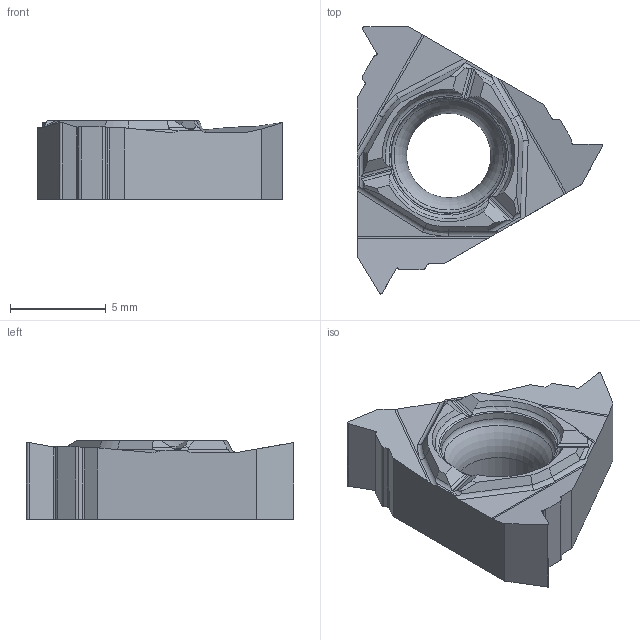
import math

import cadquery as cq

corner_turns = (0, 120, 240)
inscribed_radius = 9.525 / 2
overall_height = 4.1
floor_height = 3.487
reach = 12.0

profile_start = (-inscribed_radius, -5.24)
tooth_tip = (-3.53, -7.287)
tooth_root = (-2.69, -5.84)
crest_y = -5.959
crest_start_x = -2.54
crest_end_x = -1.276
shoulder_y = -5.625
shoulder_start_x = -1.07
tip_radius = 0.076
root_radius = 0.05
crest_radius = 0.2
shoulder_radius = 0.12

rake_angle = 10
fold_distance = 4.275
fold_radius = 0.63

seat_radius = 4.22
chord_distance = 4.108
chord_angle = 237.8
straight_angle = 270
wall_draft = 27
wall_fillet = 0.3
pick_tolerance = 0.01

ledge_height = 3.6
ledge_distance = 4.634
relief_fillet = 0.24
ramp_direction = 215
ramp_distance = 4.08
ramp_angle = 34
ramp_start = -1.35
ramp_end = 1.0

groove_angle = 75
groove_offset = 0.05
groove_half_width = 0.74
groove_wall_angle = 38
groove_floor_width = 0.08
groove_radius = 0.25
groove_inner_end = 2.5

rim_radius = 3.46
rim_step_top = (3.31, 3.82)
rim_step_end = (3.11, 3.64)
rim_edge = (3.02, 3.60)
bore_end = (3.0, 3.23)
bowl_start = (2.85, 2.92)
hole_radius = 4.4 / 2
bowl_end_height = 1.325


def tan(degrees):
    return math.tan(math.radians(degrees))


def sin(degrees):
    return math.sin(math.radians(degrees))


def cos(degrees):
    return math.cos(math.radians(degrees))


def polar(radius, degrees):
    return (radius * cos(degrees), radius * sin(degrees))


def turned(point, degrees):
    x, y = point
    return (x * cos(degrees) - y * sin(degrees), x * sin(degrees) + y * cos(degrees))


def rotated(solid, degrees):
    return solid.rotate((0, 0, 0), (0, 0, 1), degrees)


def line_crossing(distance_a, angle_a, distance_b, angle_b):
    """Crossing of two lines, each given by its distance from the axis and its normal angle."""
    scale = sin(angle_b - angle_a)
    x = (distance_a * sin(angle_b) - distance_b * sin(angle_a)) / scale
    y = (distance_b * cos(angle_a) - distance_a * cos(angle_b)) / scale
    return (x, y)


def radial_profile(direction):
    """Sketch plane whose local axes are the outward direction and Z."""
    plane = cq.Plane((0, 0, 0), xDir=(cos(direction), sin(direction), 0),
                     normal=(sin(direction), -cos(direction), 0))
    return cq.Workplane(plane)


def make_outline():
    corner = [
        profile_start,
        tooth_tip,
        tooth_root,
        (crest_start_x, crest_y),
        (crest_end_x, crest_y),
        (shoulder_start_x, shoulder_y),
        line_crossing(-shoulder_y, 270, inscribed_radius, 300),
    ]
    points = [turned(p, turn) for turn in corner_turns for p in corner]
    body = cq.Workplane("XY").polyline(points).close().extrude(overall_height)
    for vertex, radius in ((tooth_tip, tip_radius), (tooth_root, root_radius),
                           ((crest_start_x, crest_y), crest_radius),
                           ((crest_end_x, crest_y), crest_radius),
                           ((shoulder_start_x, shoulder_y), shoulder_radius)):
        for turn in corner_turns:
            x, y = turned(vertex, turn)
            picker = cq.selectors.NearestToPointSelector((x, y, overall_height / 2))
            body = body.edges("|Z").edges(picker).fillet(radius)
    return body


def make_rake():
    """Wedge that lifts the floor toward the -Y corner, blended into the floor by an arc."""
    half_length = fold_radius * tan(rake_angle / 2)
    arc_start = fold_distance - half_length
    arc_end = fold_distance + half_length * cos(rake_angle)
    arc_end_height = floor_height + half_length * sin(rake_angle)
    arc_mid = arc_start + fold_radius * sin(rake_angle / 2)
    arc_mid_height = floor_height + fold_radius * (1 - cos(rake_angle / 2))
    return (
        radial_profile(straight_angle)
        .moveTo(arc_start, 0)
        .lineTo(arc_start, floor_height)
        .threePointArc((arc_mid, arc_mid_height), (arc_end, arc_end_height))
        .lineTo(reach, floor_height + (reach - fold_distance) * tan(rake_angle))
        .lineTo(reach, 0)
        .close()
        .extrude(reach, both=True)
    )


def make_seat():
    """Drafted seat on a wide floor slab, with its root filleted."""
    height = overall_height - floor_height
    inset = wall_fillet * (cos(wall_draft) - (1 - sin(wall_draft)) * tan(wall_draft))
    foot_radius = seat_radius - inset
    foot_chord = chord_distance - inset
    arc_start_angle = chord_angle + math.degrees(math.acos(foot_chord / foot_radius))
    arc_mid_angle = (arc_start_angle + straight_angle) / 2
    corner = line_crossing(foot_radius, straight_angle, foot_chord, chord_angle + 120)

    outline = cq.Workplane("XY").workplane(offset=floor_height).moveTo(*turned(corner, -120))
    for turn in corner_turns:
        outline = (
            outline.lineTo(*polar(foot_radius, arc_start_angle + turn))
            .threePointArc(polar(foot_radius, arc_mid_angle + turn),
                           polar(foot_radius, straight_angle + turn))
            .lineTo(*turned(corner, turn))
        )
    seat = outline.close().extrude(height, taper=wall_draft)
    slab = cq.Workplane("XY").circle(reach).extrude(floor_height)
    foot = cq.selectors.BoxSelector((-reach, -reach, floor_height - pick_tolerance),
                                    (reach, reach, floor_height + pick_tolerance))
    return slab.union(seat).edges(foot).fillet(wall_fillet)


def make_relief():
    """Cutter along the -X side: drafted wall, root arc and a narrow ledge."""
    arc_top = ledge_distance - relief_fillet * cos(wall_draft)
    arc_top_height = ledge_height + relief_fillet * (1 - sin(wall_draft))
    mid_angle = 45 + wall_draft / 2
    arc_mid = ledge_distance - relief_fillet * cos(mid_angle)
    arc_mid_height = ledge_height + relief_fillet * (1 - sin(mid_angle))
    wall_top = arc_top - (overall_height - arc_top_height) * tan(wall_draft)
    return (
        radial_profile(180)
        .moveTo(wall_top, overall_height)
        .lineTo(arc_top, arc_top_height)
        .threePointArc((arc_mid, arc_mid_height), (ledge_distance, ledge_height))
        .lineTo(reach, ledge_height)
        .lineTo(reach, overall_height)
        .close()
        .extrude(reach, both=True)
    )


def make_ramp():
    """Sloping cutter that bevels the seat between its chord wall and the groove."""
    depth = overall_height - ledge_height
    return (
        radial_profile(ramp_direction)
        .workplane(offset=-ramp_end)
        .moveTo(ramp_distance, overall_height)
        .lineTo(ramp_distance + depth / tan(ramp_angle), ledge_height)
        .lineTo(reach, ledge_height)
        .lineTo(reach, overall_height)
        .close()
        .extrude(ramp_end - ramp_start)
    )


def make_groove():
    """Radial V cutter with a narrow floor, rounded into both walls."""
    floor_x = groove_floor_width / 2
    foot_x = floor_x + groove_radius * sin(groove_wall_angle)
    foot_z = overall_height - (groove_half_width - foot_x) * tan(groove_wall_angle)
    bottom_z = foot_z - groove_radius * (1 - cos(groove_wall_angle))
    arc_mid_x = floor_x + groove_radius * sin(groove_wall_angle / 2)
    arc_mid_z = bottom_z + groove_radius * (1 - cos(groove_wall_angle / 2))
    origin = turned((groove_inner_end, -groove_offset), groove_angle)
    plane = cq.Plane(origin + (0,),
                     xDir=(-sin(groove_angle), cos(groove_angle), 0),
                     normal=(cos(groove_angle), sin(groove_angle), 0))
    return (
        cq.Workplane(plane)
        .moveTo(-groove_half_width, overall_height)
        .lineTo(-foot_x, foot_z)
        .threePointArc((-arc_mid_x, arc_mid_z), (-floor_x, bottom_z))
        .lineTo(floor_x, bottom_z)
        .threePointArc((arc_mid_x, arc_mid_z), (foot_x, foot_z))
        .lineTo(groove_half_width, overall_height)
        .close()
        .extrude(reach - groove_inner_end)
    )


def make_screw_hole():
    """Stepped rim, short bore and rounded bowl that runs tangent into the hole."""
    bowl_depth = bowl_start[1] - bowl_end_height
    bowl_width = bowl_start[0] - hole_radius
    bowl_radius = (bowl_depth**2 + bowl_width**2) / (2 * bowl_width)
    bowl_angle = math.degrees(math.asin(bowl_depth / bowl_radius))
    bowl_mid = (hole_radius + bowl_radius * (1 - cos(bowl_angle / 2)),
                bowl_end_height + bowl_radius * sin(bowl_angle / 2))
    return (
        cq.Workplane("XZ")
        .moveTo(0, overall_height)
        .lineTo(rim_radius, overall_height)
        .lineTo(*rim_step_top)
        .tangentArcPoint(rim_step_end, relative=False)
        .lineTo(*rim_edge)
        .lineTo(*bore_end)
        .tangentArcPoint(bowl_start, relative=False)
        .threePointArc(bowl_mid, (hole_radius, bowl_end_height))
        .lineTo(hole_radius, 0)
        .lineTo(0, 0)
        .close()
        .revolve(360, (0, 0, 0), (0, 1, 0))
    )


upper = make_seat()
for cutter in (make_relief(), make_ramp(), make_groove()):
    for turn in corner_turns:
        upper = upper.cut(rotated(cutter, turn))
for turn in corner_turns:
    upper = upper.union(rotated(make_rake(), turn))

result = make_outline().intersect(upper).cut(make_screw_hole())